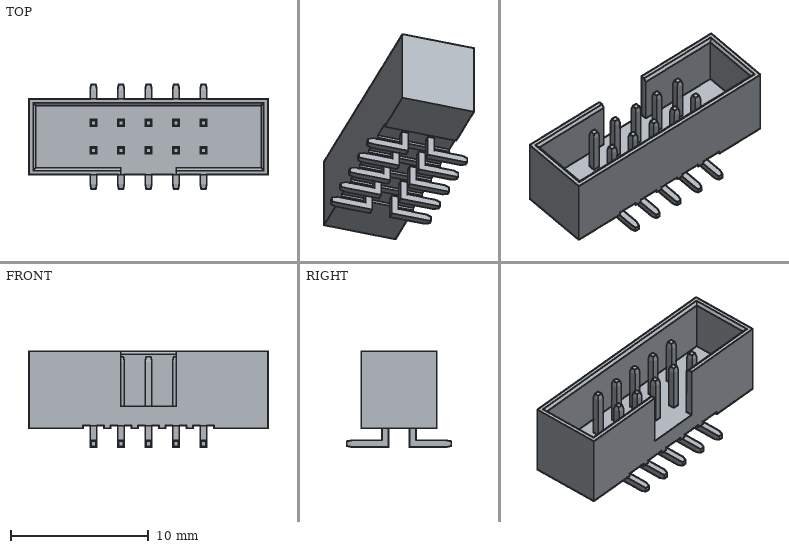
import cadquery as cq

LENGTH = 17.34
OVERALL_WIDTH = 7.6
OVERALL_HEIGHT = 6.95

BODY_WIDTH = 5.5
BODY_HEIGHT = 5.6
WALL = 0.5
RIM_CHAMFER = 0.2
CAVITY_DEPTH = 4.0
KEY_WIDTH = 4.0
RIB_WIDTH = 0.5
RELIEF_DEPTH = 0.2

PINS_PER_ROW = 5
PITCH = 2.0
PIN_SIZE = 0.5
TIP_SIZE = 0.35
TIP_LENGTH = 0.36
PIN_RECESS = 0.4

rim_z = OVERALL_HEIGHT
body_bottom_z = rim_z - BODY_HEIGHT
floor_z = rim_z - CAVITY_DEPTH
pin_top_z = rim_z - PIN_RECESS
cavity_length = LENGTH - 2 * WALL
cavity_width = BODY_WIDTH - 2 * WALL
pin_xs = [(i - (PINS_PER_ROW - 1) / 2) * PITCH for i in range(PINS_PER_ROW)]
row_y = PITCH / 2
tail_end_y = OVERALL_WIDTH / 2


def block(x_size, y_size, z_size, x, y, z):
    """Box centred at (x, y) with its underside at z."""
    return cq.Workplane("XY").box(x_size, y_size, z_size, centered=(True, True, False)).translate((x, y, z))


def make_housing():
    body = block(LENGTH, BODY_WIDTH, BODY_HEIGHT, 0, 0, body_bottom_z)
    cavity = block(cavity_length, cavity_width, CAVITY_DEPTH, 0, 0, floor_z)
    body = body.cut(cavity)

    mouth = (
        cq.Workplane("XY", origin=(0, 0, rim_z - RIM_CHAMFER))
        .rect(cavity_length, cavity_width)
        .workplane(offset=RIM_CHAMFER)
        .rect(cavity_length + 2 * RIM_CHAMFER, cavity_width + 2 * RIM_CHAMFER)
        .loft(ruled=True)
    )
    body = body.cut(mouth)

    notch = block(KEY_WIDTH, BODY_WIDTH / 2, CAVITY_DEPTH, 0, -BODY_WIDTH / 4, floor_z)
    body = body.cut(notch)

    for x in pin_xs:
        body = body.cut(block(PITCH - RIB_WIDTH, BODY_WIDTH, RELIEF_DEPTH, x, 0, body_bottom_z))
    return body


def tapered_bar(length):
    """Square bar along +Z from the origin, ending in a tapered tip."""
    shank_length = length - TIP_LENGTH
    shank = block(PIN_SIZE, PIN_SIZE, shank_length, 0, 0, 0)
    tip = (
        cq.Workplane("XY", origin=(0, 0, shank_length))
        .rect(PIN_SIZE, PIN_SIZE)
        .workplane(offset=TIP_LENGTH)
        .rect(TIP_SIZE, TIP_SIZE)
        .loft(ruled=True)
    )
    return shank.union(tip)


def make_contact():
    """L-shaped contact of the +Y row, at X = 0."""
    pin = tapered_bar(pin_top_z).translate((0, row_y, 0))
    tail_start_y = row_y - PIN_SIZE / 2
    tail = tapered_bar(tail_end_y - tail_start_y)
    tail = tail.rotate((0, 0, 0), (1, 0, 0), -90)
    return pin.union(tail.translate((0, tail_start_y, PIN_SIZE / 2)))


back_contact = make_contact()
front_contact = back_contact.mirror("XZ")

result = make_housing()
for pin_x in pin_xs:
    for contact in (back_contact, front_contact):
        result = result.union(contact.translate((pin_x, 0, 0)))